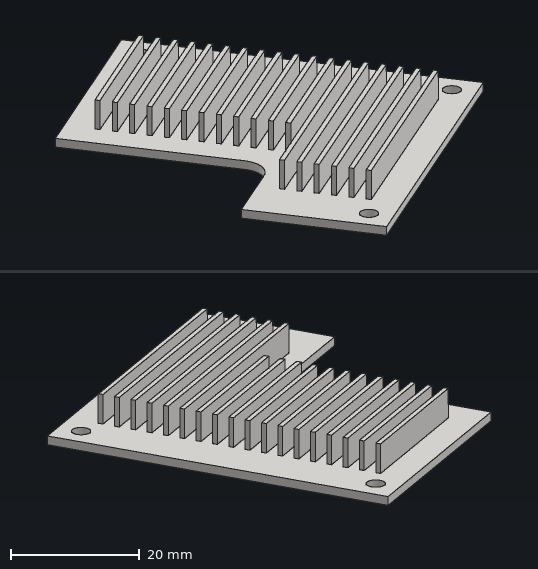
import cadquery as cq

plate_length = 58.5
plate_width = 55.5
plate_thickness = 1.5

notch_length = 35.0
notch_width = 17.5
notch_corner_radius = 4.4

hole_diameter = 3.0
hole_inset = 4.0

total_height = 6.5
fin_count = 18
short_fin_count = 12
fin_thickness = 0.8
fin_side_margin = 5.05
fin_back_margin = 8.0
long_fin_front_margin = 9.0
short_fin_length = 25.0

fin_height = total_height - plate_thickness
fin_back_y = plate_width - fin_back_margin
long_fin_length = fin_back_y - long_fin_front_margin
fin_pitch = (plate_length - 2 * fin_side_margin - fin_thickness) / (fin_count - 1)


def make_plate():
    """L-shaped plate with a rounded inner corner."""
    return (
        cq.Workplane("XY")
        .moveTo(notch_length, 0)
        .lineTo(plate_length, 0)
        .lineTo(plate_length, plate_width)
        .lineTo(0, plate_width)
        .lineTo(0, notch_width)
        .lineTo(notch_length - notch_corner_radius, notch_width)
        .radiusArc((notch_length, notch_width - notch_corner_radius), notch_corner_radius)
        .close()
        .extrude(plate_thickness)
    )


def drill_mounting_holes(plate):
    """Through holes in the three square corners of the L."""
    left = hole_inset
    right = plate_length - hole_inset
    front = hole_inset
    back = plate_width - hole_inset
    return (
        plate.faces(">Z")
        .workplane(origin=(0, 0, plate_thickness))
        .pushPoints([(left, back), (right, back), (right, front)])
        .hole(hole_diameter)
    )


def make_fin(index):
    """One upright fin; all fins share the same back edge."""
    length = short_fin_length if index < short_fin_count else long_fin_length
    corner = (fin_side_margin + index * fin_pitch, fin_back_y - length, plate_thickness)
    return (
        cq.Workplane("XY", origin=corner)
        .box(fin_thickness, length, fin_height, centered=False)
    )


result = drill_mounting_holes(make_plate())
for fin_index in range(fin_count):
    result = result.union(make_fin(fin_index))